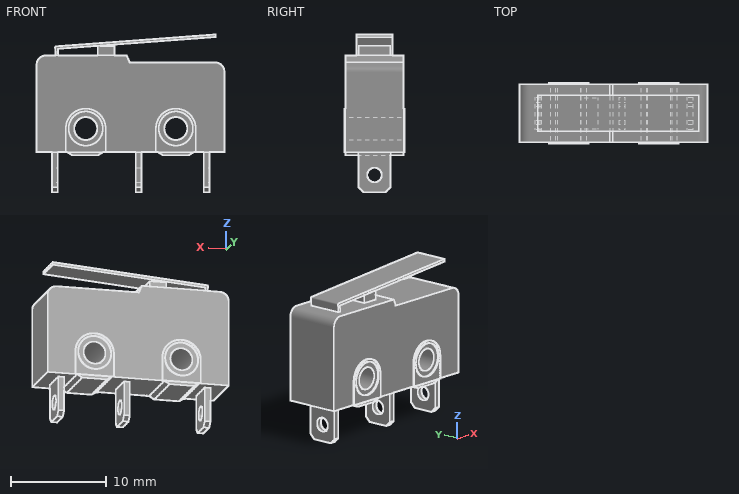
import cadquery as cq
import math

length = 19.8
thickness = 6.14
height = 10.2
low_height = 9.46
step_top_x = 9.5
step_foot_x = 9.82
corner_radius = 1.0

hole_xs = (5.19, 14.67)
hole_z = 2.5
hole_diameter = 2.4
recess_diameter = 3.6
pad_width = 4.2
overall_thickness = 6.4

foot_xs = (5.13, 14.67)
foot_top_width = 3.8
foot_bottom_width = 2.7
foot_drop = 0.34

terminal_xs = (1.95, 10.75, 17.92)
terminal_thickness = 0.63
terminal_width = 3.39
terminal_drop = 4.22
terminal_chamfer = 0.53
terminal_hole_diameter = 1.5
terminal_hole_drop = 2.4

plunger_left = 6.44
plunger_right = 8.24
plunger_width = 3.29
plunger_top = 11.19
lever_width = 3.8
lever_thickness = 0.3
lever_bend_x = 1.95
lever_bend_z = 11.15
lever_tip_x = 18.89
lever_tip_z = 12.41
lever_bend_radius = 0.15
lever_inner_radius = 0.1
lever_embed = 0.2


def centred_extrusion(sketch, depth):
    """Extrude an XZ sketch equally to both sides of y = 0."""
    return sketch.extrude(depth / 2, both=True)


def make_housing():
    outline = (
        cq.Workplane("XZ")
        .polyline([
            (0, 0),
            (length, 0),
            (length, low_height),
            (step_foot_x, low_height),
            (step_top_x, height),
            (0, height),
        ])
        .close()
    )
    block = centred_extrusion(outline, thickness)
    for corner in ((0, 0, height), (length, 0, low_height)):
        block = block.edges(cq.selectors.NearestToPointSelector(corner)).fillet(corner_radius)
    return block


def make_pads(x):
    """Arched pads on both faces, made as one piece through the housing."""
    half_width = pad_width / 2
    outline = (
        cq.Workplane("XZ")
        .moveTo(x - half_width, 0)
        .lineTo(x + half_width, 0)
        .lineTo(x + half_width, hole_z)
        .threePointArc((x, hole_z + half_width), (x - half_width, hole_z))
        .close()
    )
    return centred_extrusion(outline, overall_thickness)


def make_hole(x):
    return centred_extrusion(
        cq.Workplane("XZ").center(x, hole_z).circle(hole_diameter / 2), 2 * overall_thickness
    )


def make_recesses(x):
    """Rings that lower the pads to the housing faces around a hole."""
    ring = cq.Workplane("XZ").center(x, hole_z).circle(recess_diameter / 2)
    outside = centred_extrusion(ring, 2 * overall_thickness)
    core = cq.Workplane().box(length, thickness, height).translate((x, 0, hole_z))
    return outside.cut(core)


def make_foot(x):
    outline = (
        cq.Workplane("XZ")
        .polyline([
            (x - foot_top_width / 2, 0),
            (x - foot_bottom_width / 2, -foot_drop),
            (x + foot_bottom_width / 2, -foot_drop),
            (x + foot_top_width / 2, 0),
        ])
        .close()
    )
    return centred_extrusion(outline, thickness)


def make_terminal(x):
    blade = (
        cq.Workplane()
        .box(terminal_thickness, terminal_width, terminal_drop, centered=(True, True, False))
        .translate((x, 0, -terminal_drop))
        .edges("|X and <Z")
        .chamfer(terminal_chamfer)
    )
    eye = (
        cq.Workplane("YZ", origin=(x, 0, -terminal_hole_drop))
        .circle(terminal_hole_diameter / 2)
        .extrude(terminal_thickness, both=True)
    )
    return blade.cut(eye)


def make_plunger():
    outline = (
        cq.Workplane("XZ", origin=(plunger_left, 0, height))
        .rect(plunger_right - plunger_left, plunger_top - height, centered=False)
    )
    return centred_extrusion(outline, plunger_width)


def make_lever():
    """Sloping strip with a short leg square to it and a vertical tip."""
    slope = math.atan2(lever_tip_z - lever_bend_z, lever_tip_x - lever_bend_x)
    leg_foot_z = height - lever_embed
    lean = math.tan(slope)
    square_cut = lever_thickness / math.cos(slope)
    outer_foot_x = lever_bend_x + (lever_bend_z - leg_foot_z) * lean
    inner_bend_x = lever_bend_x + lever_thickness * (math.cos(slope) + math.sin(slope))
    inner_bend_z = lever_bend_z + lever_thickness * (math.sin(slope) - math.cos(slope))
    outline = (
        cq.Workplane("XZ")
        .polyline([
            (outer_foot_x, leg_foot_z),
            (outer_foot_x + square_cut, leg_foot_z),
            (inner_bend_x, inner_bend_z),
            (lever_tip_x, lever_tip_z - square_cut),
            (lever_tip_x, lever_tip_z),
            (lever_bend_x, lever_bend_z),
        ])
        .close()
    )
    strip = centred_extrusion(outline, lever_width)
    strip = strip.edges(cq.selectors.NearestToPointSelector((lever_bend_x, 0, lever_bend_z)))
    strip = strip.fillet(lever_bend_radius)
    strip = strip.edges(cq.selectors.NearestToPointSelector((inner_bend_x, 0, inner_bend_z)))
    return strip.fillet(lever_inner_radius)


result = make_housing()
for hole_x in hole_xs:
    result = result.union(make_pads(hole_x))
    result = result.cut(make_recesses(hole_x)).cut(make_hole(hole_x))
for foot_x in foot_xs:
    result = result.union(make_foot(foot_x))
for terminal_x in terminal_xs:
    result = result.union(make_terminal(terminal_x))
result = result.union(make_plunger()).union(make_lever())